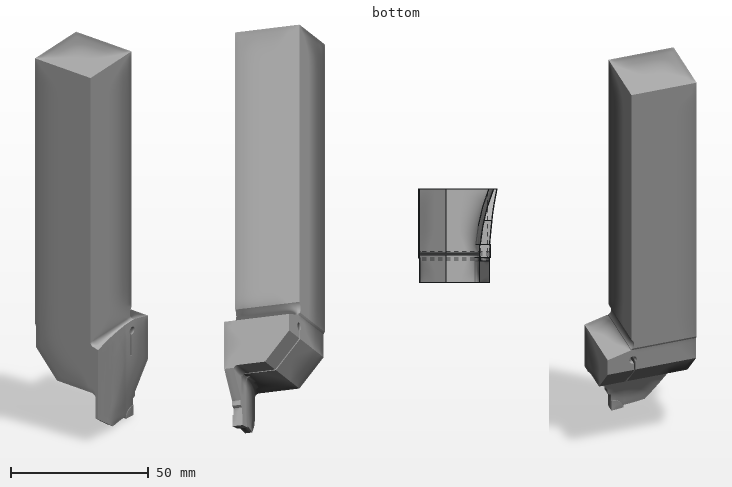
import cadquery as cq
import math

total_length = 150.0
shank_side = 25.0
head_width = 28.5
head_depth = 34.0
head_left = 0.5
head_bottom = 20.0
overshoot = 7.5

shoulder_root = 39.5
shoulder_angle = math.radians(15)
shoulder_fillet = 1.5
side_step_top = 40.4
relief_radius = 3.0
relief_end = 26.2
chamfer_top = 30.8
chamfer_foot = 9.9

blade_back = 22.2
blade_inner_front = 27.3
blade_inner_bend = 26.2
blade_outer = 25.8
blade_outer_bend = 20.2
blade_outer_sag = 0.38
blade_root_fillet = 1.6
blade_bottom = 1.4
blade_bevel_depth = 11.5
blade_bevel_height = 9.9
jaw_corner = 19.0
jaw_tip = 9.2

slit_left = 23.2
slit_right = 24.0
slit_hole_depth = 24.3
slit_hole_height = 35.1
slit_hole_radius = 1.5

seat = 20.2
clamp = 26.2
insert_left = 22.5
insert_right = blade_outer
insert_top = 25.0
insert_step_height = 7.4
insert_step_bottom = 6.8
rake = 24.9
tip_left = 22.2
tip_right = 26.1
tip_height = 4.2
tip_relief = 0.5


def extrude_along_y(outline, depth):
    """Solid with an XZ outline, running from Y = 0 to the given depth."""
    return outline.close().extrude(-depth)


def shoulder(distance):
    """Height of a sloped shoulder at a distance out from the shank."""
    return shoulder_root - distance * math.tan(shoulder_angle)


def make_head_blank():
    front_profile = (
        cq.Workplane("XZ")
        .moveTo(head_left, shoulder_root)
        .lineTo(head_left, chamfer_top)
        .lineTo(chamfer_foot, head_bottom)
        .lineTo(blade_back - 2 * blade_root_fillet, head_bottom)
        .lineTo(blade_back - 2 * blade_root_fillet, 0)
        .lineTo(head_width, 0)
        .lineTo(head_width, shoulder(head_width - shank_side))
        .lineTo(shank_side, shoulder_root)
    )
    side_profile = (
        cq.Workplane("YZ")
        .moveTo(0, shoulder_root)
        .lineTo(0, blade_bevel_height)
        .lineTo(blade_bevel_depth, blade_bottom)
        .lineTo(seat, blade_bottom)
        .lineTo(seat, jaw_tip)
        .lineTo(clamp, jaw_tip)
        .lineTo(head_depth, jaw_corner)
        .lineTo(head_depth, shoulder(head_depth - shank_side))
        .lineTo(shank_side, shoulder_root)
        .close()
        .extrude(head_width)
    )
    return extrude_along_y(front_profile, head_depth).intersect(side_profile)


def make_shank():
    shank = cq.Workplane("XY").workplane(offset=shoulder_root).rect(shank_side, shank_side)
    shank = shank.extrude(total_length - shoulder_root)
    shank = shank.translate((shank_side / 2, shank_side / 2, 0))
    side_step = extrude_along_y(
        cq.Workplane("XZ")
        .moveTo(0, shoulder_root)
        .lineTo(head_left, shoulder_root)
        .lineTo(0, side_step_top),
        shank_side,
    )
    return shank.cut(side_step)


def make_shoulder_fillet():
    """Concave fillet between the shank's right face and the shoulder, tangent to both."""
    turn = math.pi / 2 - shoulder_angle
    setback = shoulder_fillet * math.tan(turn / 2)
    foot_x = setback * math.cos(shoulder_angle)
    middle_x = shank_side + shoulder_fillet * (1 - math.cos(turn / 2))
    middle_z = shoulder_root + setback - shoulder_fillet * math.sin(turn / 2)
    web = (
        cq.Workplane("XZ")
        .moveTo(shank_side, shoulder_root + setback)
        .threePointArc((middle_x, middle_z), (shank_side + foot_x, shoulder(foot_x)))
        .lineTo(shank_side, shoulder_root)
    )
    return extrude_along_y(web, shank_side)


def make_relief():
    """Undercut groove across the back of the shank, tangent to the rear shoulder."""
    axis_y = relief_end + relief_radius * math.sin(shoulder_angle)
    axis_z = shoulder(relief_end - shank_side) + relief_radius * math.cos(shoulder_angle)
    return cq.Workplane("YZ").center(axis_y, axis_z).circle(relief_radius).extrude(head_width)


def make_inner_clearance():
    """Space on the inner side of the blade, rounded where it meets the head."""
    rise = blade_inner_front - blade_back
    radius = (blade_inner_bend**2 + rise**2) / (2 * rise)
    half_depth = blade_inner_bend / 2
    middle_x = blade_back + radius - math.sqrt(radius**2 - half_depth**2)
    clearance = (
        cq.Workplane("XY")
        .moveTo(-overshoot, 0)
        .lineTo(blade_inner_front, 0)
        .threePointArc((middle_x, half_depth), (blade_back, blade_inner_bend))
        .lineTo(blade_back, head_depth + overshoot)
        .lineTo(-overshoot, head_depth + overshoot)
        .close()
        .extrude(head_bottom + overshoot)
        .translate((0, 0, -overshoot))
    )
    wall_edges = cq.selectors.BoxSelector(
        (blade_back - 1.5, -1.5, head_bottom - 1.5),
        (head_width, head_depth + overshoot, head_bottom + 1.5),
    )
    return clearance.edges(wall_edges).fillet(blade_root_fillet)


def make_outer_clearance():
    """Space outside the hollow curve of the head's right-hand face."""
    middle_x = (head_width + blade_outer) / 2 - blade_outer_sag
    return (
        cq.Workplane("XY")
        .moveTo(head_width, 0)
        .threePointArc((middle_x, blade_outer_bend / 2), (blade_outer, blade_outer_bend))
        .lineTo(blade_outer, head_depth + overshoot)
        .lineTo(head_width + overshoot, head_depth + overshoot)
        .lineTo(head_width + overshoot, 0)
        .close()
        .extrude(total_length)
    )


def box_between(low, high):
    size = [b - a for a, b in zip(low, high)]
    return cq.Workplane("XY").box(*size, centered=False).translate(low)


def make_slit():
    slit = box_between((0, slit_left, head_bottom), (head_width, slit_right, slit_hole_height))
    hole = (
        cq.Workplane("YZ")
        .center(slit_hole_depth, slit_hole_height)
        .circle(slit_hole_radius)
        .extrude(head_width)
    )
    return slit.union(hole)


def make_insert_pocket():
    """Seat for the insert, open to the right and, below the head, also to the left."""
    pocket = box_between((insert_left, seat, 0), (head_width, clamp, insert_top))
    opening = box_between((blade_back, seat, 0), (head_width, clamp, head_bottom))
    root_opening = box_between(
        (blade_back - blade_root_fillet, seat, 0), (head_width, rake, head_bottom)
    )
    return pocket.union(opening).union(root_opening)


def make_holder():
    holder = make_head_blank().union(make_shank()).union(make_shoulder_fillet())
    cutters = (
        make_relief(),
        make_inner_clearance(),
        make_outer_clearance(),
        make_slit(),
        make_insert_pocket(),
    )
    for cutter in cutters:
        holder = holder.cut(cutter)
    return holder


def make_insert():
    bar = (
        cq.Workplane("YZ", origin=(insert_left, 0, 0))
        .moveTo(seat, tip_relief)
        .lineTo(rake, 0)
        .lineTo(rake, insert_step_bottom)
        .lineTo(clamp, insert_step_height)
        .lineTo(clamp, insert_top)
        .lineTo(seat, insert_top)
        .close()
        .extrude(insert_right - insert_left)
    )
    tip_arc_y = rake - (rake - seat) * math.cos(math.pi / 4)
    tip_arc_z = tip_relief + (tip_height - tip_relief) * math.sin(math.pi / 4)
    tip = (
        cq.Workplane("YZ", origin=(tip_left, 0, 0))
        .moveTo(rake, 0)
        .lineTo(rake, tip_height)
        .threePointArc((tip_arc_y, tip_arc_z), (seat, tip_relief))
        .close()
        .extrude(tip_right - tip_left)
    )
    return bar.union(tip)


holder = make_holder()
insert = make_insert()
result = cq.Compound.makeCompound([holder.solids().val(), insert.solids().val()])